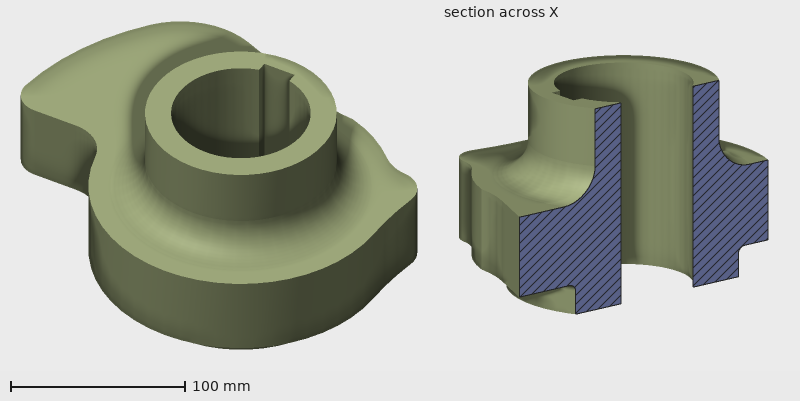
import cadquery as cq
import math

total_length = 242.7
cam_thickness = 48.0
hub_height = 54.4
foot_height = 18.0
hub_radius = 54.98
hub_fillet = 20.0
foot_radius = 67.5
foot_fillet = 4.0
bore_radius = 40.0
key_width = 20.0
key_top = 45.0

base_radius = 87.5
lobe_radius = 152.5
heel_radius = 15.5
step_fillet = 23.8
crest_radius = 50.0
crest_height = 116.7
ramp_angle = math.radians(22.0)
ramp_end_x = 1.2
hollow_end_x = 26.7
nose_radius = 15.8
nose_y = 40.0
nose_fillet = 25.5


def point_toward(start, end, distance):
    """Point at a given distance from start on the line towards end."""
    span = math.dist(start, end)
    return tuple(a + (b - a) * distance / span for a, b in zip(start, end))


def middle_of_arc(center, radius, start, end):
    """Middle point of the shorter arc from start to end."""
    chord_middle = tuple((a + b) / 2 for a, b in zip(start, end))
    return point_toward(center, chord_middle, radius)


def outer_tangent_center(center_a, radius_a, center_b, radius_b, radius):
    """Center of a circle touching circles a and b from outside, left of the line from a to b."""
    span = math.dist(center_a, center_b)
    reach_a = radius_a + radius
    reach_b = radius_b + radius
    along = (reach_a**2 - reach_b**2 + span**2) / (2 * span)
    aside = math.sqrt(reach_a**2 - along**2)
    ux = (center_b[0] - center_a[0]) / span
    uy = (center_b[1] - center_a[1]) / span
    return (center_a[0] + along * ux - aside * uy, center_a[1] + along * uy + aside * ux)


def cam_plate():
    axis = (0.0, 0.0)

    step_center = (-math.sqrt((base_radius + step_fillet) ** 2 - step_fillet**2), -step_fillet)
    step_on_base = point_toward(axis, step_center, base_radius)
    step_on_line = (step_center[0], 0.0)
    heel_center = (-math.sqrt((lobe_radius - heel_radius) ** 2 - heel_radius**2), heel_radius)
    heel_on_line = (heel_center[0], 0.0)
    heel_on_lobe = point_toward(axis, heel_center, lobe_radius)
    crest_y = crest_height - crest_radius
    crest_center = (-math.sqrt((lobe_radius - crest_radius) ** 2 - crest_y**2), crest_y)
    crest_on_lobe = point_toward(axis, crest_center, lobe_radius)
    crest_on_ramp = (
        crest_center[0] + crest_radius * math.sin(ramp_angle),
        crest_center[1] + crest_radius * math.cos(ramp_angle),
    )
    ramp_end = (ramp_end_x, crest_on_ramp[1] - (ramp_end_x - crest_on_ramp[0]) * math.tan(ramp_angle))
    hollow_end = (hollow_end_x, math.sqrt(base_radius**2 - hollow_end_x**2))

    nose_x = total_length + heel_center[0] - heel_radius - nose_radius
    nose_center = (nose_x, nose_y)
    blend_center = outer_tangent_center(axis, base_radius, nose_center, nose_radius, nose_fillet)
    blend_on_base = point_toward(axis, blend_center, base_radius)
    blend_on_nose = point_toward(nose_center, blend_center, nose_radius)

    flank_start = (base_radius, 0.0)
    offset = base_radius - nose_x
    flank_radius = (offset**2 + nose_y**2 - nose_radius**2) / (2 * (nose_radius - offset))
    flank_center = (base_radius + flank_radius, 0.0)
    flank_on_nose = point_toward(nose_center, flank_center, nose_radius)

    outline = (
        cq.Workplane("XY")
        .moveTo(*flank_start)
        .threePointArc((0.0, -base_radius), step_on_base)
        .threePointArc(middle_of_arc(step_center, step_fillet, step_on_base, step_on_line), step_on_line)
        .lineTo(*heel_on_line)
        .threePointArc(middle_of_arc(heel_center, heel_radius, heel_on_line, heel_on_lobe), heel_on_lobe)
        .threePointArc(middle_of_arc(axis, lobe_radius, heel_on_lobe, crest_on_lobe), crest_on_lobe)
        .threePointArc(
            middle_of_arc(crest_center, crest_radius, crest_on_lobe, crest_on_ramp), crest_on_ramp
        )
        .lineTo(*ramp_end)
        .tangentArcPoint(hollow_end, relative=False)
        .threePointArc(middle_of_arc(axis, base_radius, hollow_end, blend_on_base), blend_on_base)
        .threePointArc(
            middle_of_arc(blend_center, nose_fillet, blend_on_base, blend_on_nose), blend_on_nose
        )
        .threePointArc(
            middle_of_arc(nose_center, nose_radius, blend_on_nose, flank_on_nose), flank_on_nose
        )
        .threePointArc(middle_of_arc(flank_center, flank_radius, flank_on_nose, flank_start), flank_start)
        .close()
    )
    return outline.extrude(cam_thickness)


def boss(radius, height, root_fillet):
    """Round boss standing on Z = 0 with a concave fillet around its root."""
    fillet_middle = root_fillet * (1 - math.sqrt(0.5))
    return (
        cq.Workplane("XZ")
        .lineTo(radius + root_fillet, 0)
        .threePointArc((radius + fillet_middle, fillet_middle), (radius, root_fillet))
        .lineTo(radius, height)
        .lineTo(0, height)
        .close()
        .revolve(360, (0, 0, 0), (0, 1, 0))
    )


def keyed_bore():
    total_height = foot_height + cam_thickness + hub_height
    floor = cq.Workplane("XY").workplane(offset=-foot_height)
    bore = floor.circle(bore_radius).extrude(total_height)
    keyway = floor.center(0, key_top / 2).rect(key_width, key_top).extrude(total_height)
    return bore.union(keyway)


hub = boss(hub_radius, hub_height, hub_fillet).translate((0, 0, cam_thickness))
foot = boss(foot_radius, foot_height, foot_fillet).mirror("XY")
result = cam_plate().union(hub).union(foot).cut(keyed_bore())